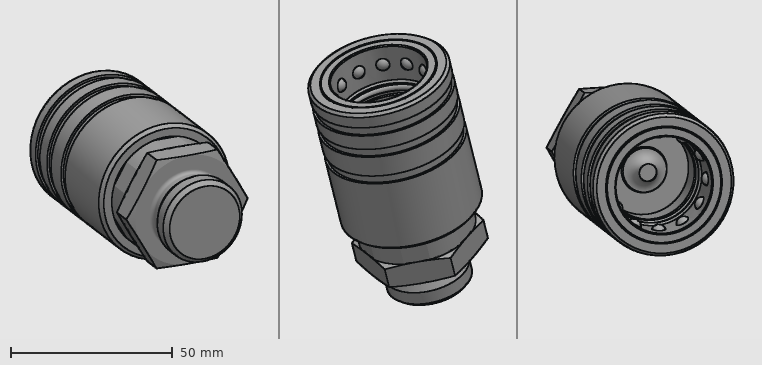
import cadquery as cq
import math


sleeve_diameter = 44.8
sleeve_length = 51.1
sleeve_front_chamfer = 0.95
sleeve_rear_chamfer = 1.2
groove_depth = 0.8
groove_spans = [(4.8, 7.9), (12.95, 15.9), (23.0, 25.9)]

housing_radius = 18.5
housing_front_chamfer = 0.4
across_flats = 36.0
nut_start = 59.0
nut_end = 67.0
nut_chamfer_length = 0.6
neck_radius = 12.0
neck_fillet = 1.2
neck_end = 70.55
thread_radius = 13.5
thread_start = 73.2
thread_chamfer = 1.5
overall_length = 79.0

bore_radius = 15.25
mouth_chamfer = 0.4
bore_end = 12.9
taper_length = 0.7
land_radius = 14.5
gland_start = 14.15
gland_end = 17.85
gland_radius = 15.2
inner_radius = 14.15
bore_floor = 25.3

seal_section_radius = 1.0
seal_position = 15.7

ball_count = 12
ball_radius = 2.3
ball_tip_radius = 13.7
ball_position = 6.8

poppet_radius = 7.3
poppet_rim_radius = 6.95
poppet_rim_length = 0.8
poppet_tip_radius = 2.8

sleeve_radius = sleeve_diameter / 2
half_flats = across_flats / 2
corner_radius = half_flats / math.cos(math.radians(30))


def revolve_about_x(profile):
    """Turn a closed (x, radius) profile in the XY plane around the X axis."""
    return profile.close().revolve(360, (0, 0, 0), (1, 0, 0))


def cylinder_along_x(radius, start, end):
    return cq.Workplane("YZ").workplane(offset=start).circle(radius).extrude(end - start)


def hexagon_along_x(start, end):
    """Hexagonal bar with corners on the Y axis and flats facing +Z and -Z."""
    return cq.Workplane("YZ").workplane(offset=start).polygon(6, 2 * corner_radius).extrude(end - start)


def make_sleeve():
    sleeve = cylinder_along_x(sleeve_radius, 0, sleeve_length)
    sleeve = sleeve.faces("<X").chamfer(sleeve_front_chamfer)
    sleeve = sleeve.faces(">X").chamfer(sleeve_rear_chamfer)
    for start, end in groove_spans:
        ring = cylinder_along_x(sleeve_radius + groove_depth, start, end)
        core = cylinder_along_x(sleeve_radius - groove_depth, start, end)
        sleeve = sleeve.cut(ring.cut(core))
    return sleeve.cut(cylinder_along_x(housing_radius, 0, sleeve_length)).solids()


def make_nut():
    """Hexagon whose corners are bevelled at both ends by shallow cones."""
    bevel_envelope = revolve_about_x(
        cq.Workplane("XY")
        .moveTo(nut_start, 0)
        .lineTo(nut_start, half_flats)
        .lineTo(nut_start + nut_chamfer_length, corner_radius)
        .lineTo(nut_end - nut_chamfer_length, corner_radius)
        .lineTo(nut_end, half_flats)
        .lineTo(nut_end, 0)
    )
    return hexagon_along_x(nut_start, nut_end).intersect(bevel_envelope)


def make_threaded_end():
    """Neck with a root fillet against the nut, flaring out to the chamfered thread diameter."""
    arc_offset = neck_fillet * (1 - math.sqrt(0.5))
    return revolve_about_x(
        cq.Workplane("XY")
        .moveTo(nut_end, 0)
        .lineTo(nut_end, neck_radius + neck_fillet)
        .threePointArc(
            (nut_end + arc_offset, neck_radius + arc_offset),
            (nut_end + neck_fillet, neck_radius),
        )
        .lineTo(neck_end, neck_radius)
        .lineTo(thread_start, thread_radius)
        .lineTo(overall_length - thread_chamfer, thread_radius)
        .lineTo(overall_length, thread_radius - thread_chamfer)
        .lineTo(overall_length, 0)
    )


def make_bore():
    """Socket cavity: chamfered mouth, ball bore, taper, land, seal gland, inner bore."""
    return revolve_about_x(
        cq.Workplane("XY")
        .moveTo(0, 0)
        .lineTo(0, bore_radius + mouth_chamfer)
        .lineTo(mouth_chamfer, bore_radius)
        .lineTo(bore_end, bore_radius)
        .lineTo(bore_end + taper_length, land_radius)
        .lineTo(gland_start, land_radius)
        .lineTo(gland_start, gland_radius)
        .lineTo(gland_end, gland_radius)
        .lineTo(gland_end, inner_radius)
        .lineTo(bore_floor, inner_radius)
        .lineTo(bore_floor, 0)
    )


def make_seal():
    """Ring of circular section, centred on the gland floor radius."""
    section = cq.Workplane("XY").center(seal_position, gland_radius).circle(seal_section_radius)
    return section.revolve(360, (-seal_position, -gland_radius, 0), (0.8 - seal_position, -gland_radius, 0))


def make_balls():
    """Ring of equally spaced spheres, partly sunk in the bore wall."""
    balls = []
    for index in range(ball_count):
        ball = cq.Workplane("XY").sphere(ball_radius)
        ball = ball.translate((ball_position, ball_tip_radius + ball_radius, 0))
        balls.append(ball.rotate((0, 0, 0), (1, 0, 0), index * 360 / ball_count))
    return balls


def make_poppet_nose():
    """Nose that sweeps in a concave quarter circle from a tapered rim up to a flat tip."""
    sweep = poppet_rim_radius - poppet_tip_radius
    rim_front = bore_floor - poppet_rim_length
    arc_offset = sweep * (1 - math.sqrt(0.5))
    return revolve_about_x(
        cq.Workplane("XY")
        .moveTo(rim_front - sweep, 0)
        .lineTo(rim_front - sweep, poppet_tip_radius)
        .threePointArc(
            (rim_front - arc_offset, poppet_tip_radius + arc_offset),
            (rim_front, poppet_rim_radius),
        )
        .lineTo(bore_floor, poppet_radius)
        .lineTo(bore_floor, 0)
    )


def make_barrel():
    """Cylinder inside the sleeve, continued behind it as a collar with six flats."""
    barrel = cylinder_along_x(housing_radius, 0, sleeve_length).faces("<X").chamfer(housing_front_chamfer)
    collar = cylinder_along_x(housing_radius, sleeve_length, nut_start)
    return barrel.union(collar.intersect(hexagon_along_x(sleeve_length, nut_start)))


def make_housing():
    housing = make_barrel().union(make_nut()).union(make_threaded_end())
    housing = housing.cut(make_bore()).cut(make_seal()).union(make_poppet_nose())
    for ball in make_balls():
        housing = housing.union(ball)
    return housing.solids()


sleeve = make_sleeve()
housing = make_housing()
seal = make_seal()

result = cq.Compound.makeCompound([sleeve.val(), housing.val(), seal.val()])